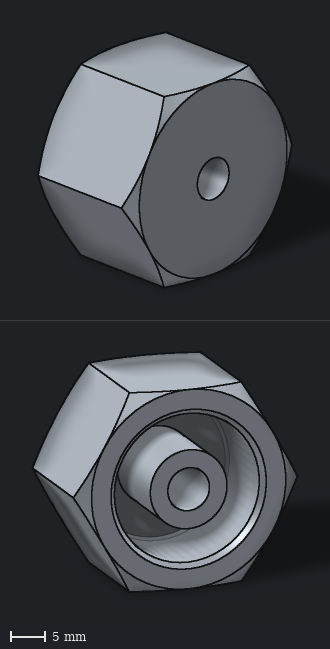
import cadquery as cq
import math

corner_width = 34.65
flat_width = corner_width * math.cos(math.pi / 6)
length = 20.0
corner_chamfer_angle = math.radians(30)

bore_diameter = 22.38
mouth_chamfer = 0.8
bore_depth = 14.0
floor_fillet = 0.5
spigot_diameter = 11.85
through_hole_diameter = 6.45


def hexagon_body():
    """Hexagonal prism with corners pointing along Y."""
    return cq.Workplane("YZ").polygon(6, corner_width).extrude(length)


def corner_chamfer_envelope():
    """Turned shape whose end cones meet the end faces at the flats."""
    flat_radius = flat_width / 2
    corner_radius = corner_width / 2
    setback = (corner_radius - flat_radius) * math.tan(corner_chamfer_angle)
    profile = [
        (0, 0),
        (0, flat_radius),
        (setback, corner_radius),
        (length - setback, corner_radius),
        (length, flat_radius),
        (length, 0),
    ]
    return cq.Workplane("XY").polyline(profile).close().revolve(360, (0, 0, 0), (1, 0, 0))


def annular_recess():
    """Chamfered bore with a rounded floor edge around the spigot, which ends flush with the open face."""
    spigot_radius = spigot_diameter / 2
    bore_radius = bore_diameter / 2
    arc_offset = floor_fillet * (1 - math.sqrt(0.5))
    profile = (
        cq.Workplane("XY")
        .moveTo(0, spigot_radius)
        .lineTo(0, bore_radius + mouth_chamfer)
        .lineTo(mouth_chamfer, bore_radius)
        .lineTo(bore_depth - floor_fillet, bore_radius)
        .threePointArc(
            (bore_depth - arc_offset, bore_radius - arc_offset),
            (bore_depth, bore_radius - floor_fillet),
        )
        .lineTo(bore_depth, spigot_radius)
        .close()
    )
    return profile.revolve(360, (0, 0, 0), (1, 0, 0))


def through_hole():
    return cq.Workplane("YZ").circle(through_hole_diameter / 2).extrude(length)


result = hexagon_body().intersect(corner_chamfer_envelope())
result = result.cut(annular_recess()).cut(through_hole())